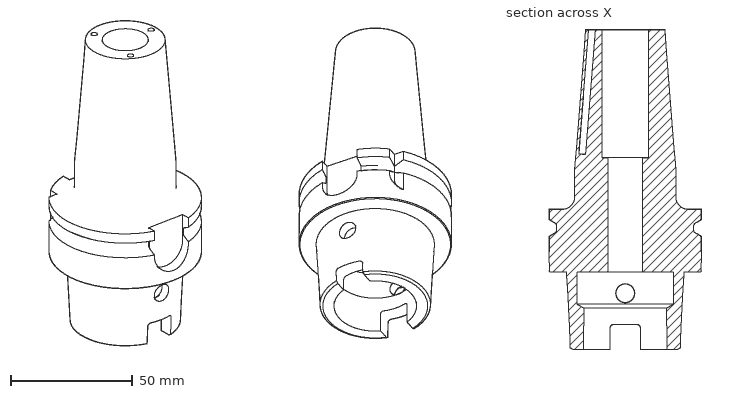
import cadquery as cq
import math

total_height = 132.0
flange_bottom = 32.0
flange_top = 58.0
cone_bottom = 75.0

flange_diameter = 63.0
flange_radius = flange_diameter / 2
neck_radius = 21.0
nose_radius = 16.5
shank_top_radius = 24.4
shank_bottom_radius = 22.8
neck_fillet = 5.0
flange_chamfer = 0.4
shank_chamfer_height = 0.7
shank_chamfer_width = 1.2

groove_center = 50.2
groove_radius = 28.4
groove_floor_width = 3.2
groove_mouth_width = 6.9
groove_corner = 0.7

tool_bore_radius = 9.5
tool_bore_depth = 52.8
through_bore_radius = 7.0

cavity_mouth_radius = 17.0
cavity_radius = 19.8
cavity_depth = flange_bottom
shoulder_start = 17.2
shoulder_slope = 30.0

slot_bottom = 37.0
slot_floor = 26.4
left_slot_width = 16.4
right_slot_width = 18.1
notch_corner = 20.0

keyway_width = 12.4
keyway_corner = 1.3
left_keyway_height = 6.3
right_keyway_height = 10.3
cross_hole_radius = 3.8
cross_hole_height = 23.2

channel_count = 3
first_channel_angle = 90
channel_radius = 1.3
channel_pitch_radius = 13.7
channel_length = 52.8


def revolved_body():
    """Shank, grooved flange, filleted neck and conical nose in one turned profile."""
    groove_mouth_low = groove_center - groove_mouth_width / 2
    groove_mouth_high = groove_center + groove_mouth_width / 2
    groove_floor_low = groove_center - groove_floor_width / 2
    groove_floor_high = groove_center + groove_floor_width / 2
    body = (
        cq.Workplane("XZ")
        .moveTo(0, 0)
        .lineTo(shank_bottom_radius - shank_chamfer_width, 0)
        .lineTo(shank_bottom_radius, shank_chamfer_height)
        .lineTo(shank_top_radius, flange_bottom)
        .lineTo(flange_radius - flange_chamfer, flange_bottom)
        .lineTo(flange_radius, flange_bottom + flange_chamfer)
        .lineTo(flange_radius, groove_mouth_low)
        .lineTo(groove_radius, groove_floor_low)
        .lineTo(groove_radius, groove_floor_high)
        .lineTo(flange_radius, groove_mouth_high)
        .lineTo(flange_radius, flange_top)
        .lineTo(neck_radius + neck_fillet, flange_top)
        .radiusArc((neck_radius, flange_top + neck_fillet), neck_fillet)
        .lineTo(neck_radius, cone_bottom)
        .lineTo(nose_radius, total_height)
        .lineTo(0, total_height)
        .close()
        .revolve(360, (0, 0, 0), (0, 1, 0))
    )
    margin = groove_floor_width / 10
    floor_edges = cq.selectors.BoxSelector(
        (-margin, -margin, groove_floor_low - margin),
        (margin, margin, groove_floor_high + margin),
    )
    return body.edges("%CIRCLE").edges(floor_edges).fillet(groove_corner)


def bore(radius, bottom, top):
    """Cylinder on the Z axis between two levels."""
    return cq.Workplane("XY").workplane(offset=bottom).circle(radius).extrude(top - bottom)


def clamping_cavity():
    """Hollow of the shank, widening over the shoulder that takes the clamping jaws."""
    shoulder_rise = (cavity_radius - cavity_mouth_radius) * math.tan(math.radians(shoulder_slope))
    return (
        cq.Workplane("XZ")
        .moveTo(0, 0)
        .lineTo(cavity_mouth_radius, 0)
        .lineTo(cavity_mouth_radius, shoulder_start)
        .lineTo(cavity_radius, shoulder_start + shoulder_rise)
        .lineTo(cavity_radius, cavity_depth)
        .lineTo(0, cavity_depth)
        .close()
        .revolve(360, (0, 0, 0), (0, 1, 0))
    )


def rim_slot(width, center_y, floor_x, side):
    """Slot open at the flange top, with a full-round lower end and a flat floor facing outwards in X."""
    radius = width / 2
    round_center = slot_bottom + radius
    depth = flange_radius - floor_x
    profile = (
        cq.Workplane("YZ")
        .workplane(offset=side * floor_x)
        .moveTo(center_y - radius, flange_top)
        .lineTo(center_y - radius, round_center)
        .threePointArc((center_y, slot_bottom), (center_y + radius, round_center))
        .lineTo(center_y + radius, flange_top)
        .close()
    )
    return profile.extrude(side * depth)


def keyway(height, side):
    """Slot through one wall of the hollow shank, open at the bottom, with rounded upper corners."""
    return (
        cq.Workplane("XY")
        .box(shank_top_radius, keyway_width, height, centered=(False, True, False))
        .edges("|X and >Z")
        .fillet(keyway_corner)
        .translate((0 if side > 0 else -shank_top_radius, 0, 0))
    )


def coolant_channel(angle):
    """Narrow blind hole from the nose face, leaning outwards as it goes down."""
    lean = math.atan2(neck_radius - nose_radius, total_height - cone_bottom)
    start = cq.Vector(channel_pitch_radius, 0, total_height)
    direction = cq.Vector(math.sin(lean), 0, -math.cos(lean))
    above_face = start - direction * channel_radius
    channel = cq.Solid.makeCylinder(channel_radius, channel_length, above_face, direction)
    return cq.Workplane(channel).rotate((0, 0, 0), (0, 0, 1), angle)


result = revolved_body()

result = result.cut(bore(tool_bore_radius, total_height - tool_bore_depth, total_height))
result = result.cut(bore(through_bore_radius, 0, total_height))
result = result.cut(clamping_cavity())

result = result.cut(rim_slot(left_slot_width, 0, slot_floor, -1))
result = result.cut(rim_slot(right_slot_width, 0, slot_floor, 1))
notch_center_y = -notch_corner - left_slot_width / 2
result = result.cut(rim_slot(left_slot_width, notch_center_y, notch_corner, -1))

result = result.cut(keyway(left_keyway_height, -1))
result = result.cut(keyway(right_keyway_height, 1))
cross_hole = (
    cq.Workplane("YZ")
    .center(0, cross_hole_height)
    .circle(cross_hole_radius)
    .extrude(shank_top_radius, both=True)
)
result = result.cut(cross_hole)

for index in range(channel_count):
    result = result.cut(coolant_channel(first_channel_angle + index * 360 / channel_count))